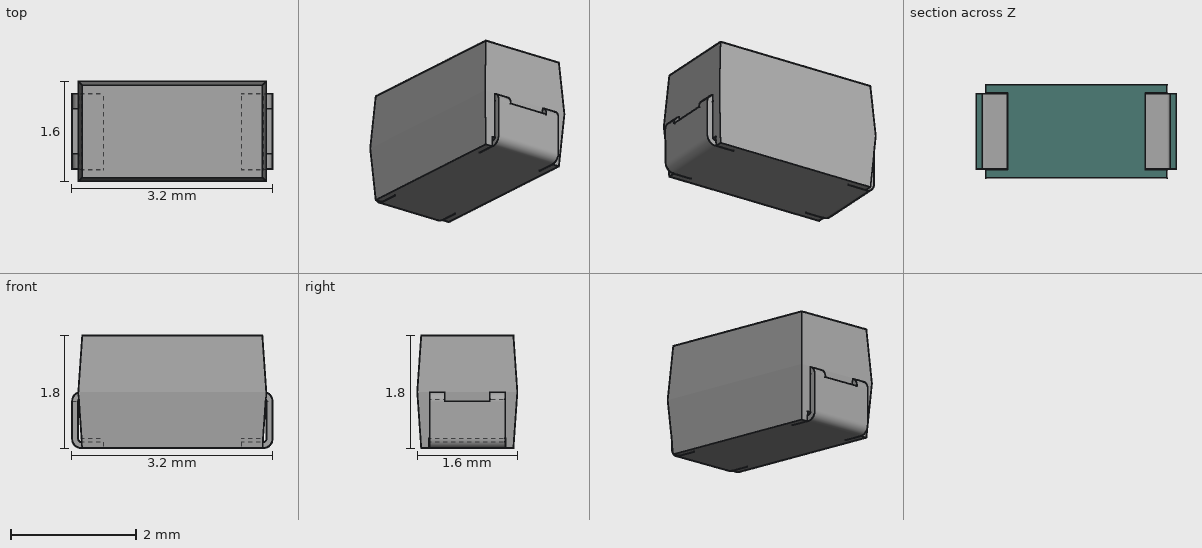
import cadquery as cq

total_length = 3.2
body_width = 1.6
body_height = 1.8
parting_height = body_height / 2
draft_angle = 4.0

strip_thickness = 0.1
bend_radius = 0.15
terminal_width = 1.203
prong_width = 0.243
embed_depth = 0.4

recess_clearance = 0.01
recess_height = 0.16

body_length = total_length - 2 * strip_thickness


def half_body(direction):
    """Drafted half of the body, up (+1) or down (-1) from the parting plane."""
    return (
        cq.Workplane("XY")
        .workplane(offset=parting_height)
        .rect(body_length, body_width)
        .extrude(direction * parting_height, taper=draft_angle)
    )


def end_block(length, width, height, bottom):
    """Box running outward in +X from the embedded end of the terminal."""
    embedded_end = total_length / 2 - strip_thickness - embed_depth
    return (
        cq.Workplane("XY")
        .box(length, width, height, centered=(False, True, False))
        .translate((embedded_end, 0, bottom))
    )


def terminal():
    """C-shaped terminal at the +X end, with a notch between two upper prongs."""
    length = embed_depth + strip_thickness
    inner_height = parting_height - 2 * strip_thickness
    notch_width = terminal_width - 2 * prong_width
    outer = end_block(length, terminal_width, parting_height, 0).edges("|Y and >X").fillet(bend_radius)
    inner = (
        end_block(embed_depth, terminal_width, inner_height, strip_thickness)
        .edges("|Y and >X")
        .fillet(bend_radius - strip_thickness)
    )
    notch = end_block(length, notch_width, bend_radius, parting_height - bend_radius)
    return outer.cut(inner).cut(notch)


right_terminal = terminal()
right_recess = end_block(embed_depth, terminal_width + 2 * recess_clearance, recess_height, 0)

body = half_body(1).union(half_body(-1))
body = body.cut(right_recess).cut(right_recess.mirror("YZ"))
result = body.union(right_terminal).union(right_terminal.mirror("YZ"))